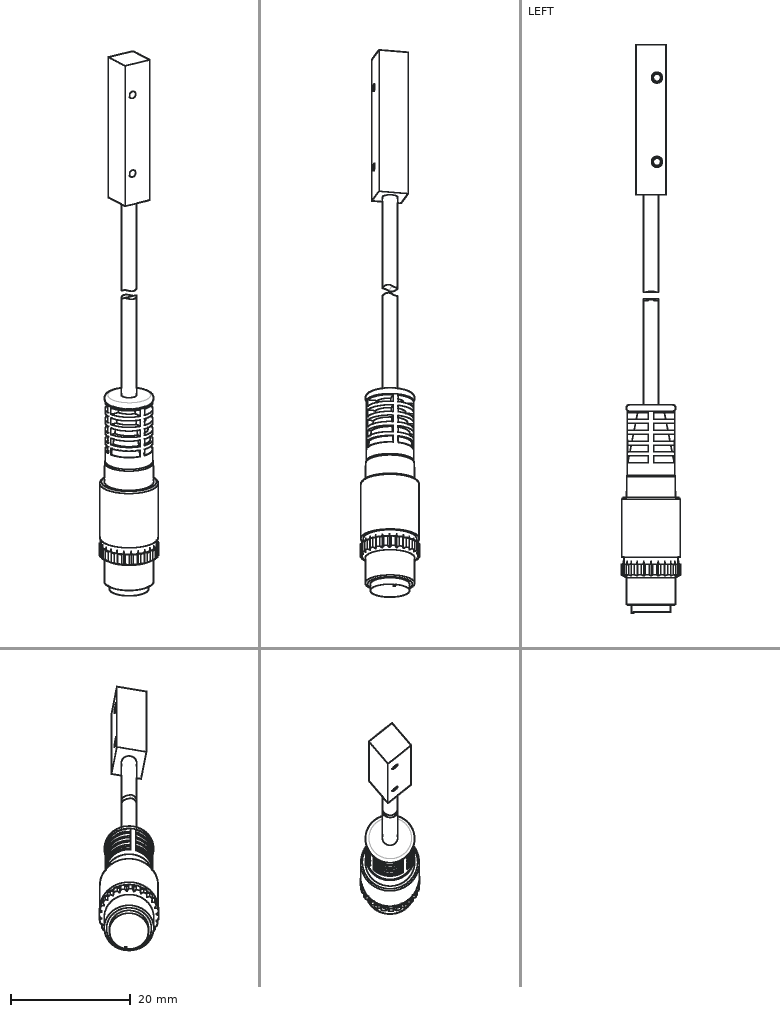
import cadquery as cq

SENSOR_TOP = 94.8
SENSOR_SIDE = 5.0
SENSOR_LENGTH = 25.0
SENSOR_BOTTOM = SENSOR_TOP - SENSOR_LENGTH
HOLE_DIAMETER = 1.2
COUNTERSINK_DIAMETER = 1.8
COUNTERSINK_ANGLE = 90
HOLE_TOP_OFFSET = 5.5
HOLE_SPACING = 14.0
HOLE_EDGE_OFFSET = 1.5

CABLE_DIAMETER = 2.6
CABLE_RADIUS = CABLE_DIAMETER / 2
BREAK_MIDDLE = 53.0
BREAK_GAP = 1.4
BREAK_WAVE = 0.2

FLANGE_DIAMETER = 8.25
GRIP_DIAMETER = 8.0
NECK_TOP_DIAMETER = 8.2
NECK_BOTTOM_DIAMETER = 8.25
SLEEVE_DIAMETER = 9.8
GROOVE_DIAMETER = 8.9
COLLAR_DIAMETER = 9.4
KNURL_DIAMETER = 10.0
PLUG_DIAMETER = 8.25
PLUG_RIM_DIAMETER = 7.5
TIP_DIAMETER = 6.5

FLANGE_TOP = 34.8
FLANGE_HEIGHT = 1.1
FLANGE_BOTTOM = FLANGE_TOP - FLANGE_HEIGHT
NECK_TOP = 23.0
NECK_CHAMFER = 0.3
SLEEVE_TOP = 19.3
SLEEVE_BOTTOM = 9.4
KNURL_TOP = 8.2
KNURL_BOTTOM = 6.4
PLUG_TOP = 6.0
PLUG_BOTTOM = 1.3
TIP_BOTTOM = 0.2
SLEEVE_CHAMFER = 0.3
PLUG_CHAMFER_HEIGHT = 0.2

WINDOW_ROWS = 5
WINDOW_HEIGHT = 1.1
WINDOW_PITCH = 1.8
WINDOWS_TOP = 33.5
BAR_WIDTH = 0.9
CORE_TOP_DIAMETER = 4.55
CORE_BOTTOM_DIAMETER = 7.8

NOTCH_COUNT = 24
NOTCH_WIDTH = 0.7
NOTCH_DEPTH = 0.4
NOTCH_TOP = SLEEVE_BOTTOM
NOTCH_BOTTOM = PLUG_TOP

KEY_WIDTH = 0.3
KEY_THICKNESS = 0.4


def cable_piece(lower_end, upper_end):
    """Plain cylinder of cable between two heights."""
    return cq.Workplane("XY").workplane(offset=lower_end).circle(CABLE_RADIUS).extrude(upper_end - lower_end)


def below_break(height):
    """Everything in the cable's path below a wave that dips at -X and rises at +X."""
    return (
        cq.Workplane("XZ")
        .moveTo(-CABLE_RADIUS, 0)
        .lineTo(-CABLE_RADIUS, height)
        .threePointArc((-CABLE_RADIUS / 2, height - BREAK_WAVE), (0, height))
        .threePointArc((CABLE_RADIUS / 2, height + BREAK_WAVE), (CABLE_RADIUS, height))
        .lineTo(CABLE_RADIUS, 0)
        .close()
        .extrude(CABLE_RADIUS, both=True)
    )


def make_sensor():
    """Sensor block with its screw holes and its length of cable."""
    block = (
        cq.Workplane("XY")
        .workplane(offset=SENSOR_BOTTOM)
        .rect(SENSOR_SIDE, SENSOR_SIDE)
        .extrude(SENSOR_LENGTH)
    )
    hole_x = SENSOR_SIDE / 2 - HOLE_EDGE_OFFSET
    upper_hole_z = SENSOR_TOP - HOLE_TOP_OFFSET
    hole_points = [(hole_x, upper_hole_z), (hole_x, upper_hole_z - HOLE_SPACING)]
    block = (
        block.faces("<X")
        .workplane(origin=(0, 0, 0))
        .pushPoints(hole_points)
        .cskHole(HOLE_DIAMETER, COUNTERSINK_DIAMETER, COUNTERSINK_ANGLE)
    )
    cable = cable_piece(BREAK_MIDDLE - BREAK_GAP, SENSOR_BOTTOM)
    cable = cable.cut(below_break(BREAK_MIDDLE + BREAK_GAP / 2))
    return block.union(cable)


def make_connector_body():
    """Turned outline of the connector, without windows, notches or key."""
    flange_round = FLANGE_HEIGHT / 2
    flange_flat = FLANGE_DIAMETER / 2 - flange_round
    return (
        cq.Workplane("XZ")
        .moveTo(0, TIP_BOTTOM)
        .lineTo(TIP_DIAMETER / 2, TIP_BOTTOM)
        .lineTo(TIP_DIAMETER / 2, PLUG_BOTTOM)
        .lineTo(PLUG_RIM_DIAMETER / 2, PLUG_BOTTOM)
        .lineTo(PLUG_DIAMETER / 2, PLUG_BOTTOM + PLUG_CHAMFER_HEIGHT)
        .lineTo(PLUG_DIAMETER / 2, PLUG_TOP)
        .lineTo(KNURL_DIAMETER / 2, KNURL_BOTTOM)
        .lineTo(KNURL_DIAMETER / 2, KNURL_TOP)
        .lineTo(COLLAR_DIAMETER / 2, KNURL_TOP)
        .lineTo(GROOVE_DIAMETER / 2, SLEEVE_BOTTOM)
        .lineTo(SLEEVE_DIAMETER / 2, SLEEVE_BOTTOM)
        .lineTo(SLEEVE_DIAMETER / 2, SLEEVE_TOP - SLEEVE_CHAMFER)
        .lineTo(SLEEVE_DIAMETER / 2 - SLEEVE_CHAMFER, SLEEVE_TOP)
        .lineTo(NECK_BOTTOM_DIAMETER / 2, SLEEVE_TOP)
        .lineTo(NECK_TOP_DIAMETER / 2, NECK_TOP - NECK_CHAMFER)
        .lineTo(GRIP_DIAMETER / 2, NECK_TOP)
        .lineTo(GRIP_DIAMETER / 2, FLANGE_BOTTOM)
        .lineTo(flange_flat, FLANGE_BOTTOM)
        .threePointArc((FLANGE_DIAMETER / 2, FLANGE_TOP - flange_round), (flange_flat, FLANGE_TOP))
        .lineTo(0, FLANGE_TOP)
        .close()
        .revolve(360, (0, 0, 0), (0, 1, 0))
    )


def make_window_cutters():
    """Rings around the tapered core, interrupted by the four upright bars."""
    windows_bottom = WINDOWS_TOP - (WINDOW_ROWS - 1) * WINDOW_PITCH - WINDOW_HEIGHT
    windows_span = WINDOWS_TOP - windows_bottom
    rings = cq.Workplane("XY")
    for row in range(WINDOW_ROWS):
        ring_bottom = windows_bottom + row * WINDOW_PITCH
        ring = cq.Workplane("XY").workplane(offset=ring_bottom).circle(FLANGE_DIAMETER / 2)
        rings = rings.add(ring.extrude(WINDOW_HEIGHT))
    core = (
        cq.Workplane("XY")
        .workplane(offset=windows_bottom)
        .circle(CORE_BOTTOM_DIAMETER / 2)
        .workplane(offset=windows_span)
        .circle(CORE_TOP_DIAMETER / 2)
        .loft(ruled=True)
    )
    bar_base = cq.Workplane("XY").workplane(offset=windows_bottom)
    bars_along_x = bar_base.rect(FLANGE_DIAMETER, BAR_WIDTH).extrude(windows_span)
    bars_along_y = bar_base.rect(BAR_WIDTH, FLANGE_DIAMETER).extrude(windows_span)
    return rings.combine().cut(core).cut(bars_along_x).cut(bars_along_y)


def make_notch_cutters():
    """Upright V-shaped prisms spaced evenly around the knurled ring."""
    rim = KNURL_DIAMETER / 2
    prism = (
        cq.Workplane("XY")
        .workplane(offset=NOTCH_BOTTOM)
        .moveTo(rim - NOTCH_DEPTH, 0)
        .lineTo(rim + NOTCH_DEPTH, NOTCH_WIDTH)
        .lineTo(rim + NOTCH_DEPTH, -NOTCH_WIDTH)
        .close()
        .extrude(NOTCH_TOP - NOTCH_BOTTOM)
    )
    cutters = cq.Workplane("XY")
    for index in range(NOTCH_COUNT):
        cutters = cutters.add(prism.rotate((0, 0, 0), (0, 0, 1), index * 360 / NOTCH_COUNT))
    return cutters.combine()


def make_key():
    """Key that hangs from the end of the tip."""
    return (
        cq.Workplane("XY")
        .center(0, (TIP_DIAMETER - KEY_THICKNESS) / 2)
        .rect(KEY_WIDTH, KEY_THICKNESS)
        .extrude(PLUG_BOTTOM)
        .intersect(cq.Workplane("XY").circle(TIP_DIAMETER / 2).extrude(PLUG_BOTTOM))
    )


def make_connector():
    """Connector with its grip windows, knurl notches, key and length of cable."""
    body = make_connector_body().cut(make_window_cutters()).cut(make_notch_cutters())
    cable = cable_piece(FLANGE_TOP, BREAK_MIDDLE)
    cable = cable.intersect(below_break(BREAK_MIDDLE - BREAK_GAP / 2))
    return body.union(make_key()).union(cable)


sensor = make_sensor()
connector = make_connector()

result = cq.Compound.makeCompound([sensor.val(), connector.val()])